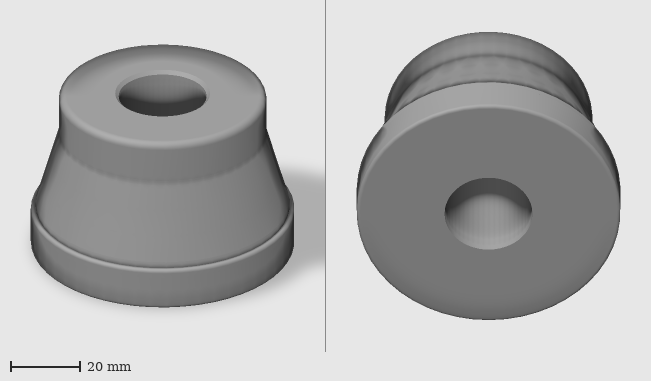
import cadquery as cq
import math

total_height = 50.0
base_radius = 38.1
neck_radius = 30.0
bore_radius = 12.7

flange_height = 10.16
cover_thickness = 4.2
hub_radius = neck_radius - cover_thickness
hub_top = total_height - cover_thickness
flange_fillet = 1.0

rim_top = 12.66
rim_fillet = 1.0
skirt_radius = 36.7
skirt_bottom = 13.8
neck_bottom = 37.1
blend_radius = 5.0
top_fillet = 2.0
bore_chamfer = 1.0

skirt_angle = math.atan2(skirt_radius - neck_radius, neck_bottom - skirt_bottom)
blend_setback = blend_radius * math.tan(skirt_angle / 2)


def corner_blend(corner_radius, corner_height, side):
    """Start, middle and end of the blend at a skirt corner, going upward.

    side is 1 where the blend is convex (lower corner) and -1 where it is concave (upper corner).
    """
    along_skirt = (
        corner_radius - side * blend_setback * math.sin(skirt_angle),
        corner_height + side * blend_setback * math.cos(skirt_angle),
    )
    on_cylinder = (corner_radius, corner_height - side * blend_setback)
    center_radius = corner_radius - side * blend_radius
    middle = (
        center_radius + side * blend_radius * math.cos(skirt_angle / 2),
        on_cylinder[1] + side * blend_radius * math.sin(skirt_angle / 2),
    )
    if side > 0:
        return on_cylinder, middle, along_skirt
    return along_skirt, middle, on_cylinder


def revolve_profile(profile):
    """Full turn about Z of a closed profile drawn in radius and height."""
    return profile.close().revolve(360, (0, 0, 0), (0, 1, 0))


def make_core():
    profile = (
        cq.Workplane("XZ")
        .moveTo(bore_radius, 0)
        .lineTo(base_radius, 0)
        .lineTo(base_radius, flange_height)
        .lineTo(hub_radius, flange_height)
        .lineTo(hub_radius, hub_top)
        .lineTo(bore_radius, hub_top)
    )
    outer_bottom_edge = cq.selectors.RadiusNthSelector(-1)
    return revolve_profile(profile).faces("<Z").edges(outer_bottom_edge).fillet(flange_fillet)


def make_cover():
    lower_start, lower_middle, lower_end = corner_blend(skirt_radius, skirt_bottom, 1)
    upper_start, upper_middle, upper_end = corner_blend(neck_radius, neck_bottom, -1)
    arc_inset = 1 - math.sqrt(0.5)
    profile = (
        cq.Workplane("XZ")
        .moveTo(hub_radius, flange_height)
        .lineTo(base_radius, flange_height)
        .lineTo(base_radius, rim_top - rim_fillet)
        .threePointArc(
            (base_radius - arc_inset * rim_fillet, rim_top - arc_inset * rim_fillet),
            (base_radius - rim_fillet, rim_top),
        )
        .lineTo(skirt_radius, rim_top)
        .lineTo(*lower_start)
        .threePointArc(lower_middle, lower_end)
        .lineTo(*upper_start)
        .threePointArc(upper_middle, upper_end)
        .lineTo(neck_radius, total_height - top_fillet)
        .threePointArc(
            (neck_radius - arc_inset * top_fillet, total_height - arc_inset * top_fillet),
            (neck_radius - top_fillet, total_height),
        )
        .lineTo(bore_radius + bore_chamfer, total_height)
        .lineTo(bore_radius, total_height - bore_chamfer)
        .lineTo(bore_radius, hub_top)
        .lineTo(hub_radius, hub_top)
    )
    return revolve_profile(profile)


core = make_core()
cover = make_cover()
result = cq.Compound.makeCompound([core.val(), cover.val()])